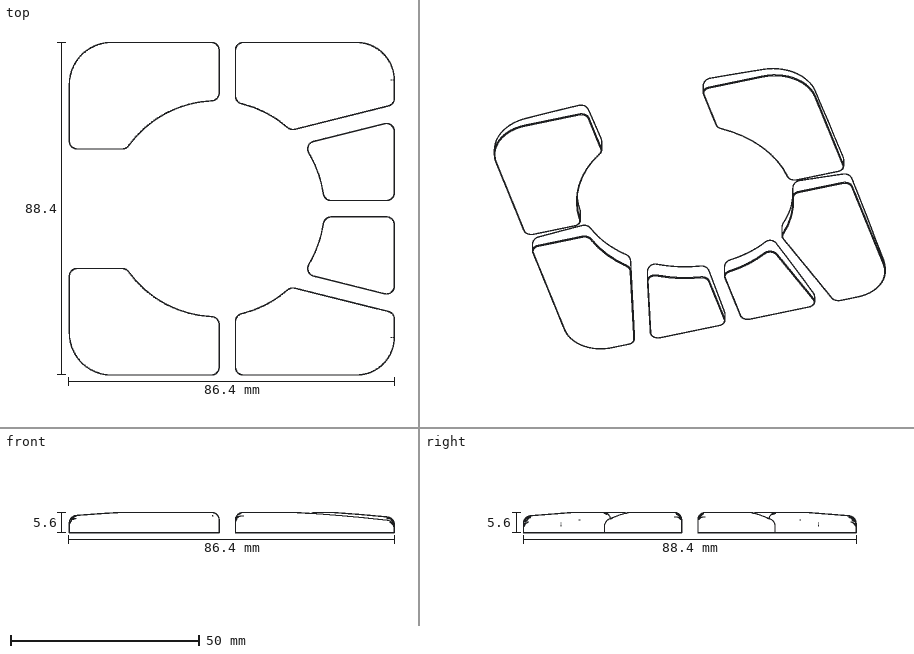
import cadquery as cq
import math

LENGTH_Y = 88.4
LEFT_X = -39.1
RIGHT_X = 47.3
HALF_Y = LENGTH_Y / 2

GAP = 4.2
SPLIT_X = 2.9
LEFT_PAD_START_Y = 15.8
SLANT_ANGLE = 14.0
SLANT_OUTER_Y = 25.5
left_pad_inner_x = SPLIT_X - GAP / 2
right_pad_inner_x = SPLIT_X + GAP / 2

OPENING_RADIUS = 28.6
LEFT_CORNER_RADIUS = 11.2
RIGHT_CORNER_RADIUS = 10.1
EDGE_RADIUS = 2.1
BASE_CHAMFER = 0.2

PAD_HEIGHT = 5.6
DOME_RADIUS = 468.5
BLANK_HEIGHT = 2 * PAD_HEIGHT
crest_radius = OPENING_RADIUS + EDGE_RADIUS
dome_center_z = PAD_HEIGHT - math.sqrt(DOME_RADIUS**2 - crest_radius**2)


def slanted_y(x, side):
    """Y of one side (+1 upper, -1 lower) of the slanted gap at a given x."""
    slope = math.radians(SLANT_ANGLE)
    middle_y = SLANT_OUTER_Y + (x - RIGHT_X) * math.tan(slope)
    return middle_y + side * GAP / 2 / math.cos(slope)


def distance_in_plan(edge, point):
    """Horizontal distance from the middle of an edge to an (x, y) point."""
    middle = edge.Center()
    return math.hypot(middle.x - point[0], middle.y - point[1])


def make_pad(outline, outer_corner=None, corner_radius=None):
    """Cut the opening and the dome from an extruded outline, round its edges, and bevel its base.

    outer_corner is the (x, y) of the sharp outline corner that gets the large radius.
    """
    blank = cq.Workplane("XY").polyline(outline).close().extrude(BLANK_HEIGHT)
    if outer_corner:
        at_corner = cq.selectors.NearestToPointSelector((*outer_corner, BLANK_HEIGHT / 2))
        blank = blank.edges("|Z").edges(at_corner).fillet(corner_radius)

    opening = cq.Workplane("XY").circle(OPENING_RADIUS).extrude(BLANK_HEIGHT)
    blank = blank.cut(opening)

    dome = cq.Workplane("XY").sphere(DOME_RADIUS).translate((0, 0, dome_center_z))
    pad = blank.intersect(dome)

    sharp_corners = [
        edge
        for edge in pad.edges("|Z").vals()
        if not outer_corner or distance_in_plan(edge, outer_corner) > corner_radius
    ]
    rim = pad.faces(">Z").edges().vals()
    rounded = pad.val().fillet(EDGE_RADIUS, sharp_corners + rim)
    return cq.Workplane(rounded.Solids()[0]).faces("<Z").chamfer(BASE_CHAMFER)


def make_left_pad():
    outline = [
        (LEFT_X, HALF_Y),
        (left_pad_inner_x, HALF_Y),
        (left_pad_inner_x, LEFT_PAD_START_Y),
        (LEFT_X, LEFT_PAD_START_Y),
    ]
    return make_pad(outline, (LEFT_X, HALF_Y), LEFT_CORNER_RADIUS)


def make_right_corner_pad():
    outline = [
        (right_pad_inner_x, HALF_Y),
        (RIGHT_X, HALF_Y),
        (RIGHT_X, slanted_y(RIGHT_X, 1)),
        (right_pad_inner_x, slanted_y(right_pad_inner_x, 1)),
    ]
    return make_pad(outline, (RIGHT_X, HALF_Y), RIGHT_CORNER_RADIUS)


def make_right_middle_pad():
    outline = [
        (right_pad_inner_x, GAP / 2),
        (RIGHT_X, GAP / 2),
        (RIGHT_X, slanted_y(RIGHT_X, -1)),
        (right_pad_inner_x, slanted_y(right_pad_inner_x, -1)),
    ]
    return make_pad(outline)


pads = []
for pad in (make_left_pad(), make_right_corner_pad(), make_right_middle_pad()):
    pads.append(pad.val())
    pads.append(pad.mirror("XZ").val())

result = cq.Compound.makeCompound(pads)